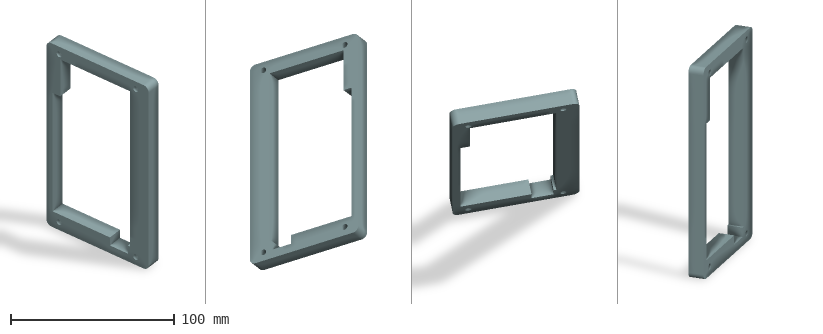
import cadquery as cq

WIDTH = 79.0
DEPTH = 10.0
HEIGHT = 139.5
CORNER_RADIUS = 4.0

LEFT_WALL = 4.9
RIGHT_WALL = 14.4
TOP_WALL = 9.3
BOTTOM_WALL = 12.0

BLOCK_WIDTH = 5.9
BLOCK_HEIGHT = 28.0

NOTCH_WIDTH = 13.8
NOTCH_DEPTH = 6.1
NOTCH_TO_RIGHT_WALL = 1.7

HOLE_DIAMETER = 3.9
HOLE_SPACING_X = 59.1
HOLE_SPACING_Z = 127.8

left = -WIDTH / 2 + LEFT_WALL
right = WIDTH / 2 - RIGHT_WALL
top = HEIGHT / 2 - TOP_WALL
bottom = -HEIGHT / 2 + BOTTOM_WALL
block_right = left + BLOCK_WIDTH
block_bottom = top - BLOCK_HEIGHT
notch_right = right - NOTCH_TO_RIGHT_WALL
notch_left = notch_right - NOTCH_WIDTH
notch_bottom = bottom - NOTCH_DEPTH


def make_plate():
    """Solid plate with its four corners rounded."""
    return cq.Workplane("XY").box(WIDTH, DEPTH, HEIGHT).edges("|Y").fillet(CORNER_RADIUS)


def make_window():
    """Through opening, including the step beside the block and the notch."""
    outline = [
        (block_right, top),
        (right, top),
        (right, bottom),
        (notch_right, bottom),
        (notch_right, notch_bottom),
        (notch_left, notch_bottom),
        (notch_left, bottom),
        (left, bottom),
        (left, block_bottom),
        (block_right, block_bottom),
    ]
    return cq.Workplane("XZ").polyline(outline).close().extrude(DEPTH, both=True)


def make_holes():
    """Round cutters for the corner holes."""
    return (
        cq.Workplane("XZ")
        .rarray(HOLE_SPACING_X, HOLE_SPACING_Z, 2, 2)
        .circle(HOLE_DIAMETER / 2)
        .extrude(DEPTH, both=True)
    )


result = make_plate().cut(make_window()).cut(make_holes())